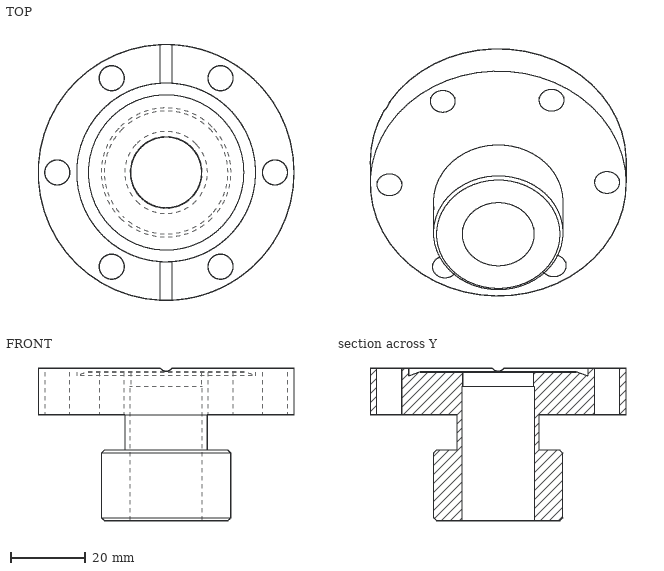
import cadquery as cq

flange_diameter = 69.1
flange_thickness = 12.65
total_height = 41.25

neck_diameter = 22.25
nut_diameter = 34.95
nut_height = 19.15
nut_chamfer = 0.8

bore_diameter = 19.1
lower_bore_diameter = 19.4
bore_step_depth = 5.05

recess_diameter = 48.3
knife_diameter = 41.95
recess_depth = 2.1
knife_depth = 0.9
inner_floor_depth = 1.2

bolt_count = 6
bolt_hole_diameter = 6.7
bolt_circle_diameter = 58.7

groove_width = 3.2
groove_depth = 0.8

flange_bottom = total_height - flange_thickness


def make_body():
    """Flange, neck and chamfered nut stacked along Z."""
    nut = cq.Workplane("XY").circle(nut_diameter / 2).extrude(nut_height).edges().chamfer(nut_chamfer)
    neck = cq.Workplane("XY").circle(neck_diameter / 2).extrude(total_height)
    flange = (
        cq.Workplane("XY")
        .workplane(offset=flange_bottom)
        .circle(flange_diameter / 2)
        .extrude(flange_thickness)
    )
    return nut.union(neck).union(flange)


def make_seal_recess():
    """Revolved recess: flat inner floor, knife edge, then a cone falling to the outer wall."""
    inner_floor = total_height - inner_floor_depth
    return (
        cq.Workplane("XZ")
        .moveTo(0, total_height)
        .lineTo(0, inner_floor)
        .lineTo(knife_diameter / 2, inner_floor)
        .lineTo(knife_diameter / 2, total_height - knife_depth)
        .lineTo(recess_diameter / 2, total_height - recess_depth)
        .lineTo(recess_diameter / 2, total_height)
        .close()
        .revolve(360, (0, 0, 0), (0, 1, 0))
    )


def make_bolt_holes():
    """Ring of through holes, the first one on +X."""
    return (
        cq.Workplane("XY")
        .workplane(offset=flange_bottom)
        .polarArray(bolt_circle_diameter / 2, 0, 360, bolt_count)
        .circle(bolt_hole_diameter / 2)
        .extrude(flange_thickness)
    )


def make_groove():
    """Shallow round-bottomed groove across the whole face."""
    return (
        cq.Workplane("XZ")
        .moveTo(-groove_width / 2, total_height)
        .threePointArc((0, total_height - groove_depth), (groove_width / 2, total_height))
        .close()
        .extrude(flange_diameter / 2, both=True)
    )


def make_bore():
    """Through bore with its wider lower stretch."""
    upper = cq.Workplane("XY").circle(bore_diameter / 2).extrude(total_height)
    lower = cq.Workplane("XY").circle(lower_bore_diameter / 2).extrude(total_height - bore_step_depth)
    return upper.union(lower)


result = (
    make_body()
    .cut(make_bore())
    .cut(make_seal_recess())
    .cut(make_bolt_holes())
    .cut(make_groove())
)